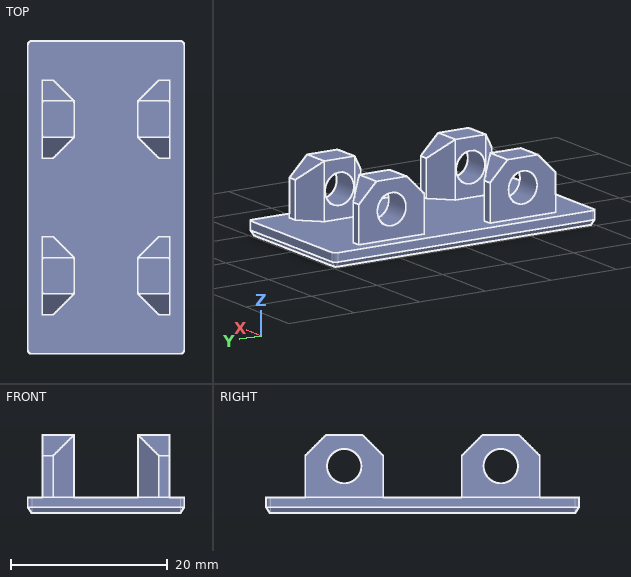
import cadquery as cq

plate_width = 20.0
plate_length = 40.0
plate_thickness = 2.0
corner_radius = 0.5
edge_bevel_height = 0.75
edge_bevel_inset = 0.5

lug_length = plate_length / 4
lug_height = 8.0
lug_thickness = 4.05
lug_bevel = 2.7
lug_outer_face = 8.1
lug_spacing = plate_length / 2
hole_diameter = 4.35
hole_height = plate_thickness + lug_height / 2


def make_plate():
    """Rounded plate with a bevel around its underside."""
    return (
        cq.Workplane("XY")
        .rect(plate_width, plate_length)
        .extrude(plate_thickness)
        .edges("|Z")
        .fillet(corner_radius)
        .faces("<Z")
        .chamfer(edge_bevel_height, edge_bevel_inset)
    )


def make_lug():
    """Lug on the +X side, centred on Y = 0, with its sloped corners and cross hole."""
    half_length = lug_length / 2
    flat_half = half_length - lug_bevel
    lug_inner_face = lug_outer_face - lug_thickness
    lug_top = plate_thickness + lug_height

    side = (
        cq.Workplane("YZ", origin=(lug_inner_face, 0, 0))
        .polyline([
            (-half_length, plate_thickness),
            (half_length, plate_thickness),
            (half_length, lug_top - lug_bevel),
            (flat_half, lug_top),
            (-flat_half, lug_top),
            (-half_length, lug_top - lug_bevel),
        ])
        .close()
        .extrude(lug_thickness)
    )
    plan = (
        cq.Workplane("XY", origin=(0, 0, plate_thickness))
        .polyline([
            (lug_outer_face, -half_length),
            (lug_outer_face, half_length),
            (lug_inner_face + lug_bevel, half_length),
            (lug_inner_face, flat_half),
            (lug_inner_face, -flat_half),
            (lug_inner_face + lug_bevel, -half_length),
        ])
        .close()
        .extrude(lug_height)
    )
    hole = (
        cq.Workplane("YZ", origin=(lug_inner_face, 0, 0))
        .center(0, hole_height)
        .circle(hole_diameter / 2)
        .extrude(lug_thickness)
    )
    return side.intersect(plan).cut(hole)


right_lug = make_lug()
left_lug = right_lug.mirror("YZ")

result = make_plate()
for lug_y in (-lug_spacing / 2, lug_spacing / 2):
    for lug in (left_lug, right_lug):
        result = result.union(lug.translate((0, lug_y, 0)))